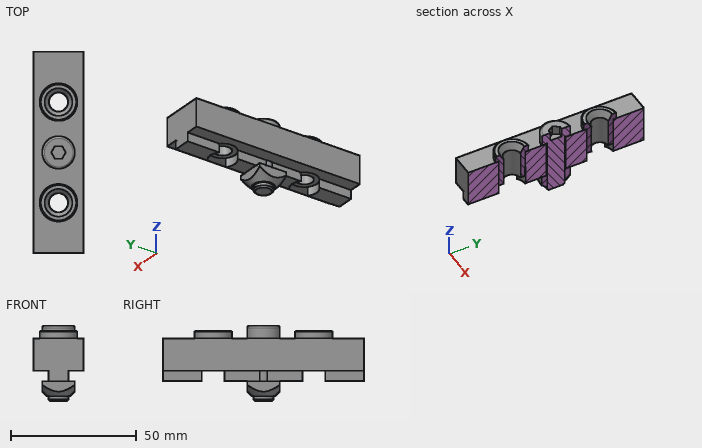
import cadquery as cq
import math

bar_width = 20.0
bar_length = 80.0
bar_height = 13.0

tongue_width = 8.0
tongue_height = 4.0
tongue_bottom = -(bar_height + tongue_height)

bushing_spacing = 40.0
bushing_shank_diameter = 12.0
bushing_collar_diameter = 15.0
bushing_collar_height = 3.0
bushing_collar_chamfer = 0.5
bushing_bore_diameter = 7.5
bushing_countersink_diameter = 11.0
bushing_countersink_depth = 3.0

screw_diameter = 8.0
screw_tip_diameter = 6.65
screw_clearance_diameter = 8.5
screw_head_diameter = 13.0
screw_head_height = 5.0
screw_head_fillet = 0.8
screw_protrusion = 2.0
socket_across_flats = 5.0
socket_depth = 4.0

nut_width = 13.0
nut_height = 6.0
nut_bottom_diameter = 9.4

nut_bottom = tongue_bottom - nut_height
screw_bottom = nut_bottom - screw_protrusion
bushing_positions = [(0, side * bushing_spacing / 2) for side in (-1, 1)]


def cylinder(diameter, bottom, top):
    """Cylinder on the Z axis between two heights."""
    return cq.Workplane("XY").workplane(offset=bottom).circle(diameter / 2).extrude(top - bottom)


def box(width, length, bottom, top):
    """Box centred on the Z axis between two heights."""
    return cq.Workplane("XY").workplane(offset=bottom).rect(width, length).extrude(top - bottom)


def make_bar():
    """Bar with its tongue, two bushing holes and a screw hole, all passing right through."""
    bar = box(bar_width, bar_length, -bar_height, 0)
    bar = bar.union(box(tongue_width, bar_length, tongue_bottom, -bar_height))
    bushing_hole = cylinder(bushing_shank_diameter, tongue_bottom, 0)
    for position in bushing_positions:
        bar = bar.cut(bushing_hole.translate((*position, 0)))
    return bar.cut(cylinder(screw_clearance_diameter, tongue_bottom, 0))


def make_bushing(position):
    """Collared bushing, its shank as long as the bar is high, with a countersunk bore."""
    shank = cylinder(bushing_shank_diameter, -bar_height, 0)
    collar = cylinder(bushing_collar_diameter, 0, bushing_collar_height)
    collar = collar.faces(">Z").chamfer(bushing_collar_chamfer)
    bore = cylinder(bushing_bore_diameter, -bar_height, bushing_collar_height)
    countersink_bottom = bushing_collar_height - bushing_countersink_depth
    countersink = (
        cq.Workplane("XY")
        .workplane(offset=countersink_bottom)
        .circle(bushing_bore_diameter / 2)
        .workplane(offset=bushing_countersink_depth)
        .circle(bushing_countersink_diameter / 2)
        .loft(ruled=True)
    )
    return shank.union(collar).cut(bore).cut(countersink).translate((*position, 0))


def make_screw():
    """Socket head screw with its head on the bar and a chamfered tip below the nut."""
    tip_chamfer = (screw_diameter - screw_tip_diameter) / 2
    shank = cylinder(screw_diameter, screw_bottom, 0).faces("<Z").chamfer(tip_chamfer)
    head = cylinder(screw_head_diameter, 0, screw_head_height)
    head = head.faces(">Z").edges().fillet(screw_head_fillet)
    socket_across_corners = socket_across_flats / math.cos(math.radians(30))
    socket = (
        cq.Workplane("XY")
        .workplane(offset=screw_head_height)
        .polygon(6, socket_across_corners)
        .extrude(-socket_depth)
    )
    return shank.union(head).cut(socket)


def make_nut():
    """Square nut under the tongue, trimmed by the cone, with a hole for the screw."""
    block = box(nut_width, nut_width, nut_bottom, tongue_bottom)
    bottom_radius = nut_bottom_diameter / 2
    trimming_cone = (
        cq.Workplane("XY")
        .workplane(offset=nut_bottom)
        .circle(bottom_radius)
        .workplane(offset=nut_height)
        .circle(bottom_radius + nut_height)
        .loft(ruled=True)
    )
    return block.intersect(trimming_cone).cut(cylinder(screw_diameter, nut_bottom, tongue_bottom))


bar = make_bar()
bushings = [make_bushing(position) for position in bushing_positions]
screw = make_screw()
nut = make_nut()

result = cq.Compound.makeCompound(
    [bar.val(), *[bushing.val() for bushing in bushings], screw.val(), nut.val()]
)